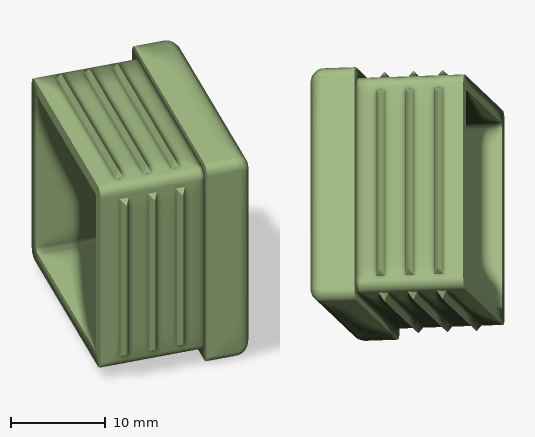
import cadquery as cq

cap_side = 25.0
cap_thickness = 5.0
cap_corner_radius = 1.0
cap_edge_radius = 1.5

cap_overhang = 1.0
body_side = cap_side - 2 * cap_overhang
body_length = 11.5
body_corner_radius = 1.0

wall = 1.5
cavity_side = body_side - 2 * wall
cavity_depth = 10.0
cavity_corner_radius = 0.5

rib_count = 3
rib_width = 1.0
rib_height = 0.8
rib_length = 20.0
rib_end_slope = 0.5
rib_gap = (body_length - rib_count * rib_width) / (rib_count + 1)
rib_pitch = rib_width + rib_gap
rib_embed = 0.25



def square_bar(side, start_y, length, corner_radius):
    """Square bar along +Y, centred on the Y axis, with rounded long edges."""
    bar = cq.Workplane("XY").box(side, length, side)
    bar = bar.edges("|Y").fillet(corner_radius)
    return bar.translate((0, start_y + length / 2, 0))


def make_cap():
    cap = square_bar(cap_side, 0, cap_thickness, cap_corner_radius)
    return cap.faces(">Y").edges().fillet(cap_edge_radius)


def make_rib(center_y):
    """Roof-shaped rib with sloped ends, standing on the +Z face of the body."""
    face_z = body_side / 2
    tip_z = face_z + rib_height
    roof = (
        cq.Workplane("YZ", origin=(-rib_length / 2, 0, 0))
        .moveTo(center_y - rib_width / 2, face_z - rib_embed)
        .lineTo(center_y - rib_width / 2, face_z)
        .lineTo(center_y, tip_z)
        .lineTo(center_y + rib_width / 2, face_z)
        .lineTo(center_y + rib_width / 2, face_z - rib_embed)
        .close()
        .extrude(rib_length)
    )
    end_limits = (
        cq.Workplane("XZ", origin=(0, center_y + rib_width / 2, 0))
        .moveTo(-rib_length / 2, face_z - rib_embed)
        .lineTo(-rib_length / 2, face_z)
        .lineTo(-rib_length / 2 + rib_end_slope, tip_z)
        .lineTo(rib_length / 2 - rib_end_slope, tip_z)
        .lineTo(rib_length / 2, face_z)
        .lineTo(rib_length / 2, face_z - rib_embed)
        .close()
        .extrude(rib_width)
    )
    return roof.intersect(end_limits)


body = square_bar(body_side, -body_length, body_length, body_corner_radius)
plug = make_cap().union(body)

for index in range(rib_count):
    rib = make_rib(-rib_gap - rib_width / 2 - index * rib_pitch)
    for angle in (0, 90, 180, 270):
        plug = plug.union(rib.rotate((0, 0, 0), (0, 1, 0), angle))

cavity = square_bar(cavity_side, -body_length, cavity_depth, cavity_corner_radius)
result = plug.cut(cavity)